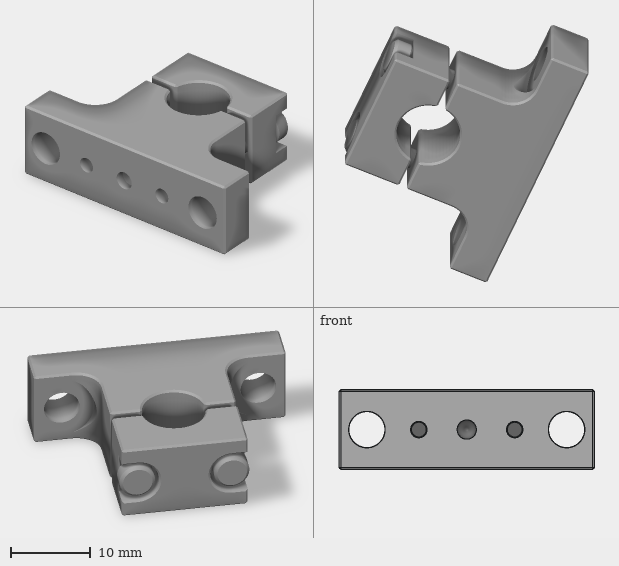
import cadquery as cq


BASE_WIDTH = 32.0
TOTAL_DEPTH = 23.0
THICKNESS = 10.0
EDGE_CHAMFER = 0.25

CLAMP_WIDTH = BASE_WIDTH / 2
BORE_DIAMETER = 8.0
BORE_Y = 15.0
CLAMP_GAP = 1.0
BASE_TOP_Y = BORE_Y - CLAMP_GAP / 2
CAP_BOTTOM_Y = BORE_Y + CLAMP_GAP / 2

FLANGE_DEPTH = 5.15
FLANGE_FILLET = 3.2
MOUNT_HOLE_DIAMETER = 4.5
MOUNT_HOLE_SPACING = 25.0
SPOTFACE_DIAMETER = 8.32

CENTER_HOLE_DIAMETER = 2.4
CENTER_HOLE_DEPTH = 1.25

SCREW_SPACING = 12.0
SCREW_DIAMETER = 2.5
SCREW_LENGTH = 12.0
SCREW_TIP_CHAMFER = 0.32
HEAD_DIAMETER = 4.5
HEAD_HEIGHT = 2.5
HEAD_CHAMFER = 0.4
HEAD_SEAT_Y = TOTAL_DEPTH - HEAD_HEIGHT
SCREW_TIP_Y = HEAD_SEAT_Y - SCREW_LENGTH

TAP_HOLE_DIAMETER = 2.05
CLEARANCE_HOLE_DIAMETER = 2.9
RECESS_WIDTH = 5.5


def mirrored(spacing):
    """The two X positions of a pair of features that are the given distance apart."""
    return (-spacing / 2, spacing / 2)


def y_cylinder(diameter, x, start_y, end_y):
    """Round bar along Y, centred at the given X on the plane Z = 0."""
    start_plane = cq.Workplane("XZ", origin=(x, start_y, 0))
    return start_plane.circle(diameter / 2).extrude(start_y - end_y)


def block(width, start_y, end_y):
    """Full-thickness block centred on X = 0."""
    depth = end_y - start_y
    return cq.Workplane("XY").box(width, depth, THICKNESS).translate((0, start_y + depth / 2, 0))


def clamp_bore():
    return cq.Workplane("XY", origin=(0, BORE_Y, 0)).circle(BORE_DIAMETER / 2).extrude(THICKNESS, both=True)


def base_body():
    """Inverted-T block with filleted inner corners, the half bore and chamfered edges."""
    body = block(BASE_WIDTH, 0, FLANGE_DEPTH).union(block(CLAMP_WIDTH, 0, BASE_TOP_Y))
    for x in mirrored(CLAMP_WIDTH):
        inner_corner = cq.NearestToPointSelector((x, FLANGE_DEPTH, 0))
        body = body.edges(inner_corner).fillet(FLANGE_FILLET)
    body = body.cut(clamp_bore())

    sharp_edges = cq.Selector()
    for x in mirrored(CLAMP_WIDTH):
        sharp_edges -= cq.NearestToPointSelector((x, FLANGE_DEPTH + FLANGE_FILLET, 0))
    for x in mirrored(CLAMP_WIDTH + 2 * FLANGE_FILLET):
        sharp_edges -= cq.NearestToPointSelector((x, FLANGE_DEPTH, 0))
    return body.edges(sharp_edges).chamfer(EDGE_CHAMFER)


def center_hole():
    radius = CENTER_HOLE_DIAMETER / 2
    cone_tip = CENTER_HOLE_DEPTH + radius
    half_section = [(0, 0), (radius, 0), (radius, CENTER_HOLE_DEPTH), (0, cone_tip)]
    return cq.Workplane("XY").polyline(half_section).close().revolve(360, (0, 0), (0, 1))


def make_base():
    body = base_body().cut(center_hole())
    for x in mirrored(MOUNT_HOLE_SPACING):
        body = body.cut(y_cylinder(MOUNT_HOLE_DIAMETER, x, 0, FLANGE_DEPTH))
        body = body.cut(y_cylinder(SPOTFACE_DIAMETER, x, FLANGE_DEPTH, BASE_TOP_Y))
    for x in mirrored(SCREW_SPACING):
        body = body.cut(y_cylinder(TAP_HOLE_DIAMETER, x, 0, BASE_TOP_Y))
        body = body.cut(make_screw(x))
    return body


def head_recess(x):
    """Slot with a round inner end about the screw axis, open at the side, with a chamfered mouth."""
    half_length = CLAMP_WIDTH / 2
    slot_x = x + half_length if x > 0 else x - half_length
    slot_length = CLAMP_WIDTH + RECESS_WIDTH
    flare = 2 * EDGE_CHAMFER
    slot = (
        cq.Workplane("XZ", origin=(slot_x, HEAD_SEAT_Y, 0))
        .slot2D(slot_length, RECESS_WIDTH)
        .extrude(-HEAD_HEIGHT)
    )
    mouth = (
        cq.Workplane("XZ", origin=(slot_x, TOTAL_DEPTH, 0))
        .slot2D(slot_length + flare, RECESS_WIDTH + flare)
        .extrude(EDGE_CHAMFER, taper=45)
    )
    return slot.union(mouth)


def make_cap():
    body = block(CLAMP_WIDTH, CAP_BOTTOM_Y, TOTAL_DEPTH).cut(clamp_bore())
    body = body.edges().chamfer(EDGE_CHAMFER)
    for x in mirrored(SCREW_SPACING):
        body = body.cut(head_recess(x))
        body = body.cut(y_cylinder(CLEARANCE_HOLE_DIAMETER, x, CAP_BOTTOM_Y, TOTAL_DEPTH))
    return body


def make_screw(x):
    shank = y_cylinder(SCREW_DIAMETER, x, SCREW_TIP_Y, HEAD_SEAT_Y).faces("<Y").chamfer(SCREW_TIP_CHAMFER)
    head = y_cylinder(HEAD_DIAMETER, x, HEAD_SEAT_Y, TOTAL_DEPTH).faces("<Y or >Y").chamfer(HEAD_CHAMFER)
    return shank.union(head)


base = make_base()
cap = make_cap()
screws = [make_screw(x) for x in mirrored(SCREW_SPACING)]

result = cq.Compound.makeCompound([base.val(), cap.val(), *[screw.val() for screw in screws]])